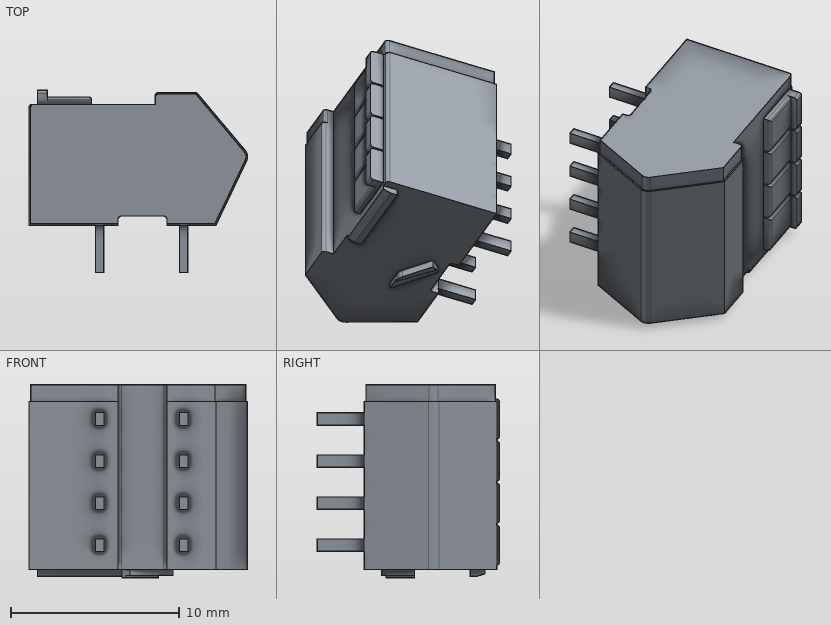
import math

import cadquery as cq

WIDTH = 13.0
DEPTH_LOW = 7.2
DEPTH_HIGH = 7.9
STEP_X = 7.5
CORNER_RADIUS = 0.2

TIP_RADIUS = 0.6
TIP_Y = 4.08
BACK_WALL_LEAN = math.radians(40)
FRONT_WALL_LEAN = math.radians(25.5)

BODY_HEIGHT = 10.0
CAP_HEIGHT = 1.0
CAP_INSET = 0.1

GROOVE_LEFT = 5.3
GROOVE_WIDTH = 2.9
GROOVE_DEPTH = 0.55
GROOVE_RADIUS = 0.2

POSITIONS = 4
PITCH = 2.5

PIN_COLUMNS = (4.2, 9.2)
PIN_WIDTH = 0.5
PIN_THICKNESS = 0.75
PIN_LENGTH = 2.8
PIN_FIRST_Z = 1.45

LEVER_LEFT = 0.5
LEVER_RIGHT = 3.73
LEVER_HEIGHT = 2.4
LEVER_FIRST_Z = 0.25
LEVER_REACH = 0.45
GRIP_WIDTH = 0.6
GRIP_REACH = 0.85
LEVER_RADIUS = 0.2
LEVER_END_RADIUS = 0.2

RAIL_LEFT = 0.5
RAIL_RIGHT = 5.55
RAIL_DEPTH = 0.9
RAIL_HEIGHT = 0.4
RAIL_TIP_HEIGHT = 0.25
RAIL_FLAT = 0.42

KEY_TIP = (5.53, 1.58)
KEY_END_RUN = 0.49
KEY_END_DROP = 0.54
KEY_ANGLE = math.radians(38)
KEY_BACK_Y = 3.0
KEY_FAR_X = 8.58
KEY_RADIUS = 0.75
KEY_HEIGHT = 0.35
LIP_FAR_X = 7.7
LIP_HEIGHT = 0.5


def housing_block(inset, height):
    """Housing outline pulled in by inset, except along the low back wall, and extruded."""
    back = DEPTH_HIGH - inset
    radius = TIP_RADIUS - inset
    center_x = WIDTH - TIP_RADIUS
    back_tangent_x = center_x + radius * math.cos(BACK_WALL_LEAN)
    back_tangent_y = TIP_Y + radius * math.sin(BACK_WALL_LEAN)
    front_tangent_x = center_x + radius * math.cos(FRONT_WALL_LEAN)
    front_tangent_y = TIP_Y - radius * math.sin(FRONT_WALL_LEAN)
    back_corner_x = back_tangent_x - (back - back_tangent_y) * math.tan(BACK_WALL_LEAN)
    front_corner_x = front_tangent_x - (front_tangent_y - inset) * math.tan(FRONT_WALL_LEAN)
    block = (
        cq.Workplane("XY")
        .moveTo(inset, inset)
        .lineTo(front_corner_x, inset)
        .lineTo(front_tangent_x, front_tangent_y)
        .threePointArc((center_x + radius, TIP_Y), (back_tangent_x, back_tangent_y))
        .lineTo(back_corner_x, back)
        .lineTo(STEP_X, back)
        .lineTo(STEP_X, DEPTH_LOW)
        .lineTo(inset, DEPTH_LOW)
        .close()
        .extrude(height)
    )
    for corner in ((inset, DEPTH_LOW), (STEP_X, back)):
        edge = cq.selectors.NearestToPointSelector((*corner, height / 2))
        block = block.edges("|Z").edges(edge).fillet(CORNER_RADIUS)
    return block


def front_groove():
    """Full-height groove whose two inner corners are rounded."""
    return (
        cq.Workplane("XY")
        .rect(GROOVE_WIDTH, 2 * GROOVE_DEPTH)
        .extrude(BODY_HEIGHT + CAP_HEIGHT)
        .edges("|Z and >Y")
        .fillet(GROOVE_RADIUS)
        .translate((GROOVE_LEFT + GROOVE_WIDTH / 2, 0, 0))
    )


def pin(x, z):
    """Straight rectangular pin centred at x and z, standing on the front face."""
    bar = cq.Workplane("XY").box(PIN_WIDTH, PIN_LENGTH, PIN_THICKNESS)
    return bar.translate((x, -PIN_LENGTH / 2, z))


def rounded_bar(left, right, reach):
    """Bar standing out of the low back wall, with rounded upper and lower outer edges."""
    return (
        cq.Workplane("XY")
        .box(right - left, reach, LEVER_HEIGHT, centered=False)
        .edges("|X and >Y")
        .fillet(LEVER_RADIUS)
        .translate((left, DEPTH_LOW, 0))
    )


def lever_end_shape():
    """Block with the plate's extents whose free end has a rounded outer corner."""
    return (
        cq.Workplane("XY")
        .box(LEVER_RIGHT - LEVER_LEFT, LEVER_REACH, LEVER_HEIGHT, centered=False)
        .edges("|Z and >X and >Y")
        .fillet(LEVER_END_RADIUS)
        .translate((LEVER_LEFT, DEPTH_LOW, 0))
    )


def lever(z):
    """Flat plate with a taller grip at its left end; z is its underside."""
    plate = rounded_bar(LEVER_LEFT, LEVER_RIGHT, LEVER_REACH).intersect(lever_end_shape())
    grip = rounded_bar(LEVER_LEFT, LEVER_LEFT + GRIP_WIDTH, GRIP_REACH)
    return plate.union(grip).translate((0, 0, z))


def latch_rail():
    """Rail whose underside rises towards the back edge."""
    front = DEPTH_LOW - RAIL_DEPTH
    return (
        cq.Workplane("YZ")
        .moveTo(front, 0)
        .lineTo(front, -RAIL_HEIGHT)
        .lineTo(front + RAIL_FLAT, -RAIL_HEIGHT)
        .lineTo(DEPTH_LOW, -RAIL_TIP_HEIGHT)
        .lineTo(DEPTH_LOW, 0)
        .close()
        .extrude(RAIL_RIGHT - RAIL_LEFT)
        .translate((RAIL_LEFT, 0, 0))
    )


def slanted_slab(end_fraction, far_x, height):
    """Slab below the body that covers end_fraction of the key's end face and reaches far_x."""
    tip_x, tip_y = KEY_TIP
    back_corner_x = tip_x + (KEY_BACK_Y - tip_y) / math.tan(KEY_ANGLE)
    back_corner = cq.selectors.NearestToPointSelector((back_corner_x, KEY_BACK_Y, -height / 2))
    return (
        cq.Workplane("XY")
        .moveTo(tip_x, tip_y)
        .lineTo(tip_x + end_fraction * KEY_END_RUN, tip_y - end_fraction * KEY_END_DROP)
        .lineTo(far_x, KEY_BACK_Y)
        .lineTo(back_corner_x, KEY_BACK_Y)
        .close()
        .extrude(-height)
        .edges("|Z")
        .edges(back_corner)
        .fillet(KEY_RADIUS)
    )


def locking_key():
    """Key with a lip half as wide hanging lower; both share the rounded back side."""
    key = slanted_slab(1, KEY_FAR_X, KEY_HEIGHT)
    lip = slanted_slab(0.5, LIP_FAR_X, LIP_HEIGHT)
    return key.union(lip)


body = housing_block(0, BODY_HEIGHT)
cap = housing_block(CAP_INSET, CAP_HEIGHT).translate((0, 0, BODY_HEIGHT))
result = body.union(cap).cut(front_groove())

for index in range(POSITIONS):
    offset = index * PITCH
    result = result.union(lever(LEVER_FIRST_Z + offset))
    for column in PIN_COLUMNS:
        result = result.union(pin(column, PIN_FIRST_Z + offset))

result = result.union(latch_rail()).union(locking_key())